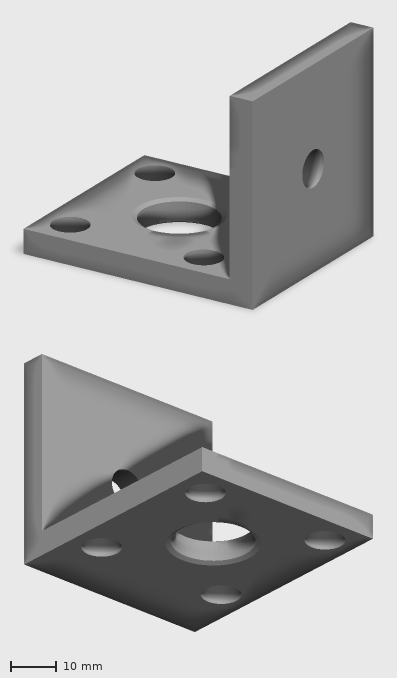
import cadquery as cq

length = 60.0
width = 50.0
height = width
thickness = 6.0

hole_diameter = 9.0
hole_edge_distance = 7.5
hole_spacing = width - 2 * hole_edge_distance

bore_diameter = 18.8
bore_mouth_diameter = 21.0
bore_chamfer_depth = 0.6

pattern_x = width / 2
pattern_y = width / 2
wall_hole_z = height / 2


def make_angle():
    """L-shaped body with the wall standing at the +X end."""
    base = cq.Workplane("XY").box(length, width, thickness, centered=False)
    wall = (
        cq.Workplane("XY")
        .box(thickness, width, height, centered=False)
        .translate((length - thickness, 0, 0))
    )
    return base.union(wall)


def make_corner_holes():
    return (
        cq.Workplane("XY")
        .center(pattern_x, pattern_y)
        .rect(hole_spacing, hole_spacing, forConstruction=True)
        .vertices()
        .circle(hole_diameter / 2)
        .extrude(thickness)
    )


def make_bore():
    """Bore cutter that flares to the mouth diameter at both ends."""
    return (
        cq.Workplane("XZ")
        .moveTo(0, 0)
        .lineTo(bore_mouth_diameter / 2, 0)
        .lineTo(bore_diameter / 2, bore_chamfer_depth)
        .lineTo(bore_diameter / 2, thickness - bore_chamfer_depth)
        .lineTo(bore_mouth_diameter / 2, thickness)
        .lineTo(0, thickness)
        .close()
        .revolve(360, (0, 0), (0, 1))
        .translate((pattern_x, pattern_y, 0))
    )


def make_wall_hole():
    return (
        cq.Workplane("YZ", origin=(length - thickness, pattern_y, wall_hole_z))
        .circle(hole_diameter / 2)
        .extrude(thickness)
    )


result = make_angle().cut(make_corner_holes()).cut(make_bore()).cut(make_wall_hole())